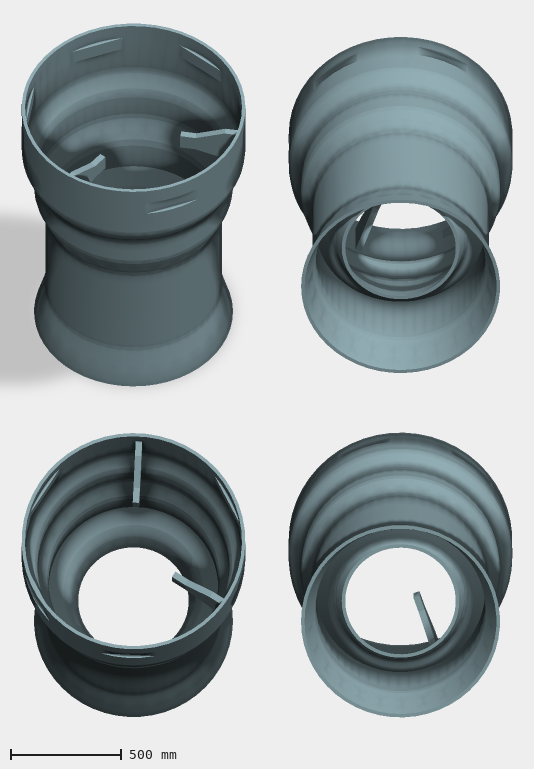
import cadquery as cq
import math

height = 1400.0
wall = 15.0

head_radius = 1012.0 / 2
neck_radius = 900.0 / 2
tube_radius = 800.0 / 2
flare_radius = 900.0 / 2

head_bottom = 1099.0
neck_top = 997.0
neck_bottom = 848.0
tube_top = 717.0
flare_top = 202.0
bend_radius = 84.0

flat_angles = (0, 120, 180, 240)
flat_distance = head_radius - wall
flat_bottom = 1246.0
flat_height = 74.0

rib_angles = (60, -60)
rib_thickness = 30.0
rib_inner = 217.0
rib_land = 70.0
rib_outer_top = flat_bottom + flat_height
rib_outer_height = 192.0
rib_inner_height = 77.0
rib_drop = 57.0

funnel_top = 560.0
funnel_wall = wall
rim_radius = tube_radius - wall
mouth_angle = 50.0
throat_angle = 17.0
throat_bend_radius = 122.0
throat_bend_bore = 288.0
outlet_bore = 500.0 / 2


def outer_body():
    """Solid of revolution filling the pipe, with rounded bends."""
    outline = [
        (0, 0),
        (flare_radius, 0),
        (tube_radius, flare_top),
        (tube_radius, tube_top),
        (neck_radius, neck_bottom),
        (neck_radius, neck_top),
        (head_radius, head_bottom),
        (head_radius, height),
        (0, height),
    ]
    body = cq.Workplane("XZ").polyline(outline).close().revolve(360, (0, 0), (0, 1))
    bends = cq.selectors.BoxSelector(
        (-height, -height, flare_top / 2), (height, height, head_bottom + wall)
    )
    return body.edges("%CIRCLE").edges(bends).fillet(bend_radius)


def beyond_flat(distance, angle):
    """Block lying outside a flat at the given distance from the axis."""
    block = cq.Workplane("XY").box(
        head_radius, head_radius, flat_height, centered=(False, True, False)
    )
    return block.translate((distance, 0, flat_bottom)).rotate((0, 0, 0), (0, 0, 1), angle)


def make_pipe(body):
    """Hollow pipe of even wall, including where the flats are pressed in."""
    pipe = body.faces("<Z or >Z").shell(-wall)
    head = cq.Workplane("XY").circle(head_radius - wall / 2).extrude(height)
    for angle in flat_angles:
        backing = beyond_flat(flat_distance - wall, angle).intersect(head)
        pipe = pipe.union(backing).cut(beyond_flat(flat_distance, angle))
    return pipe


def make_rib(pipe, body, angle):
    """Radial plate with a sloping top, fitted to the inside of the pipe."""
    inner_top = rib_outer_top - rib_drop
    inner_bottom = inner_top - rib_inner_height
    outline = [
        (rib_inner, inner_bottom),
        (rib_inner, inner_top),
        (rib_inner + rib_land, inner_top),
        (head_radius - wall - rib_land, rib_outer_top),
        (head_radius, rib_outer_top),
        (head_radius, rib_outer_top - rib_outer_height),
        (head_radius - wall, rib_outer_top - rib_outer_height),
        (rib_inner + rib_land, inner_bottom),
    ]
    plate = cq.Workplane("XZ").polyline(outline).close().extrude(rib_thickness / 2, both=True)
    plate = plate.rotate((0, 0, 0), (0, 0, 1), angle)
    return plate.intersect(body).cut(pipe)


def make_funnel():
    """Funnel of even wall, its rim seated against the tube."""
    mouth_height = (rim_radius - throat_bend_bore) / math.tan(math.radians(mouth_angle))
    throat_height = (throat_bend_bore - outlet_bore) / math.tan(math.radians(throat_angle))
    bend_z = funnel_top - mouth_height
    outlet_z = bend_z - throat_height
    bore_outline = [
        (0, outlet_z),
        (outlet_bore, outlet_z),
        (throat_bend_bore, bend_z),
        (rim_radius, funnel_top),
        (0, funnel_top),
    ]
    bore = cq.Workplane("XZ").polyline(bore_outline).close().revolve(360, (0, 0), (0, 1))
    bend = cq.selectors.BoxSelector(
        (-height, -height, outlet_z + throat_height / 2),
        (height, height, bend_z + mouth_height / 2),
    )
    bore = bore.edges("%CIRCLE").edges(bend).fillet(throat_bend_radius)
    shell = bore.faces("<Z or >Z").shell(funnel_wall)
    tube_space = cq.Workplane("XY").circle(rim_radius).extrude(height)
    return shell.intersect(tube_space)


body = outer_body()
pipe = make_pipe(body)
ribs = [make_rib(pipe, body, angle) for angle in rib_angles]
funnel = make_funnel()

result = cq.Compound.makeCompound([pipe.val(), *[rib.val() for rib in ribs], funnel.val()])